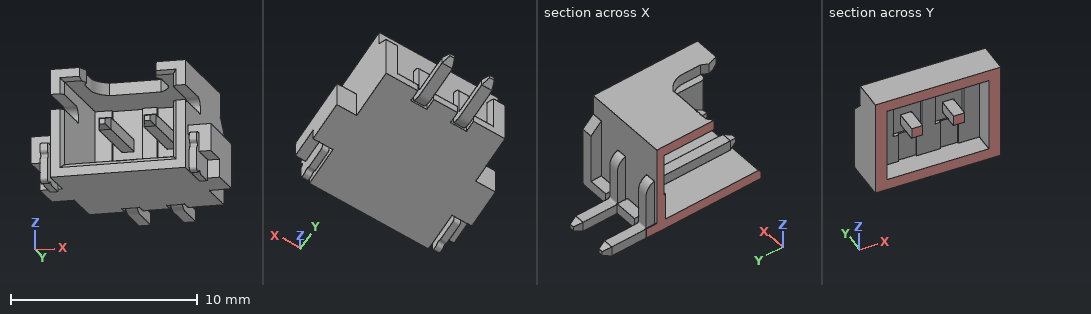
import cadquery as cq
import math


body_width = 7.5
body_height = 6.0
body_depth = 7.8
top_depth = 7.1
rear_step = body_depth - top_depth
cheek_chamfer_top = 4.66
side_wall = 0.72
wall = 0.7
lead_in = 0.2
cavity_depth = top_depth - wall
cavity_width = body_width - 2 * side_wall
cavity_height = body_height - 2 * wall

side_slot_depth = 3.01
side_slot_bottom = 3.77
side_slot_top = 4.6
side_slot_radius = 0.5
window_half_width = 2.13
window_neck_half_width = 1.91
window_neck_depth = 0.66
window_straight_start = 1.07
window_straight_end = 2.26
window_arc_end_half_width = 1.54
window_depth = 3.49
window_corner_width = 0.1
window_corner_depth = 0.09

pin_pitch = 2.5
pin_size = 0.66
pin_tip_size = 0.29
pin_tip_length = 0.51
pin_front = 1.42
pin_rear = 10.5
pin_height = 3.31
foot_drop = 0.2
pin_inner_bend = 0.15
pin_outer_bend = pin_inner_bend + pin_size
pin_positions = [-pin_pitch / 2, pin_pitch / 2]

recess_width = 1.7
recess_bottom = 2.49
recess_depth = 0.2
groove_width = 1.07
groove_depth = recess_depth / 2
comb_gap = 1.0
comb_height = wall

ear_width = 1.25
ear_height = 2.5
ear_front = 0.59
ear_rear = 4.81
ear_cut_rear = 2.39
ear_cut_height = 1.0
tab_inner_x = 3.94
tab_outer_x = 4.35
tab_front = 0.1
tab_rear = 2.28
tab_top = 2.01
tab_front_radius = 0.2
tab_rear_radius = 0.1
tab_groove_radius = 0.15
tab_groove_lip_radius = 0.2
tab_groove_depth = 0.15
tab_front_groove_height = 1.29
tab_bottom_groove_y = 0.7


def box(x_range, y_range, z_range):
    """Box spanning the given (low, high) range on each axis."""
    low, high = zip(x_range, y_range, z_range)
    size = [b - a for a, b in zip(low, high)]
    return cq.Workplane("XY").box(*size, centered=False).translate(low)


def centred_box(x_centre, width, y_range, z_range):
    """Box of a given width, centred on x_centre."""
    return box((x_centre - width / 2, x_centre + width / 2), y_range, z_range)


def make_shell():
    """Housing block with chamfered rear cheeks and a low comb between them."""
    chamfer_bottom = cheek_chamfer_top - rear_step
    shell = (
        cq.Workplane("YZ")
        .moveTo(0, 0)
        .lineTo(body_depth, 0)
        .lineTo(body_depth, chamfer_bottom)
        .lineTo(top_depth, cheek_chamfer_top)
        .lineTo(top_depth, body_height)
        .lineTo(0, body_height)
        .close()
        .extrude(body_width / 2, both=True)
    )
    shell = shell.cut(
        centred_box(0, cavity_width, (top_depth, body_depth), (comb_height, body_height))
    )
    for x in pin_positions:
        shell = shell.cut(centred_box(x, comb_gap, (top_depth, body_depth), (0, body_height)))
    return shell


def make_cavity():
    """Mating cavity with a 45 degree lead-in around its mouth."""
    cavity = centred_box(0, cavity_width, (0, cavity_depth), (wall, wall + cavity_height))
    mouth = (
        cq.Workplane("XZ", origin=(0, 0, body_height / 2))
        .rect(cavity_width + 2 * lead_in, cavity_height + 2 * lead_in)
        .workplane(offset=-lead_in)
        .rect(cavity_width, cavity_height)
        .loft(ruled=True)
    )
    return cavity.union(mouth)


def make_side_slots():
    """Slot through both side walls, rounded at its upper inner corner."""
    return (
        cq.Workplane("YZ")
        .moveTo(0, side_slot_bottom)
        .lineTo(side_slot_depth, side_slot_bottom)
        .lineTo(side_slot_depth, side_slot_top - side_slot_radius)
        .radiusArc((side_slot_depth - side_slot_radius, side_slot_top), -side_slot_radius)
        .lineTo(0, side_slot_top)
        .close()
        .extrude(body_width / 2, both=True)
    )


def make_latch_window():
    """Roof window with a necked mouth and an arched inner end."""
    arc_end_y = window_depth - window_corner_depth
    arc_dx = window_half_width - window_arc_end_half_width
    arc_dy = arc_end_y - window_straight_end
    arc_radius = (arc_dx**2 + arc_dy**2) / (2 * arc_dx)
    half_window = (
        cq.Workplane("XY", origin=(0, 0, body_height / 2))
        .moveTo(0, 0)
        .lineTo(window_half_width, 0)
        .lineTo(window_neck_half_width, window_neck_depth)
        .lineTo(window_half_width, window_straight_start)
        .lineTo(window_half_width, window_straight_end)
        .radiusArc((window_arc_end_half_width, arc_end_y), -arc_radius)
        .lineTo(window_arc_end_half_width - window_corner_width, window_depth)
        .lineTo(0, window_depth)
        .close()
        .extrude(body_height / 2)
    )
    roof = centred_box(0, body_width, (0, window_depth), (body_height - wall, body_height))
    return half_window.union(half_window.mirror("YZ")).intersect(roof)


def make_pin_recess(x):
    """Recess around a pin in the cavity's end wall, with a shallower, narrower groove below it."""
    recess_y = (cavity_depth, cavity_depth + recess_depth)
    groove_y = (cavity_depth, cavity_depth + groove_depth)
    recess = centred_box(x, recess_width, recess_y, (recess_bottom, body_height - wall))
    groove = centred_box(x, groove_width, groove_y, (wall, recess_bottom))
    return recess.union(groove)


def make_pin_tip(x, base_y, z, direction):
    """Square pyramid frustum at a pin end; direction is +1 to the rear, -1 to the front."""
    base = cq.Plane(origin=(x, base_y, z), xDir=(1, 0, 0), normal=(0, direction, 0))
    return (
        cq.Workplane(base)
        .rect(pin_size, pin_size)
        .workplane(offset=pin_tip_length)
        .rect(pin_tip_size, pin_tip_size)
        .loft(ruled=True)
    )


def make_pin(x):
    """Square pin running back from the cavity, down behind the housing and out along the board."""
    half = pin_size / 2
    tail_bottom = -foot_drop
    tail_top = tail_bottom + pin_size
    front_base = pin_front + pin_tip_length
    rear_base = pin_rear - pin_tip_length
    riser_rear = body_depth - pin_inner_bend
    riser_front = riser_rear - pin_size
    upper_bend_y = riser_rear - pin_outer_bend
    upper_bend_z = pin_height + half - pin_outer_bend
    lower_bend_y = body_depth
    lower_bend_z = tail_bottom + pin_outer_bend
    pin = (
        cq.Workplane("YZ", origin=(x, 0, 0))
        .moveTo(front_base, pin_height - half)
        .lineTo(upper_bend_y, pin_height - half)
        .radiusArc((riser_front, upper_bend_z), pin_inner_bend)
        .lineTo(riser_front, lower_bend_z)
        .radiusArc((lower_bend_y, tail_bottom), -pin_outer_bend)
        .lineTo(rear_base, tail_bottom)
        .lineTo(rear_base, tail_top)
        .lineTo(lower_bend_y, tail_top)
        .radiusArc((riser_rear, lower_bend_z), pin_inner_bend)
        .lineTo(riser_rear, upper_bend_z)
        .radiusArc((upper_bend_y, pin_height + half), -pin_outer_bend)
        .lineTo(front_base, pin_height + half)
        .close()
        .extrude(half, both=True)
    )
    front_tip = make_pin_tip(x, front_base, pin_height, -1)
    rear_tip = make_pin_tip(x, rear_base, tail_bottom + half, 1)
    return pin.union(front_tip).union(rear_tip)


def make_ear():
    """Right-hand mounting ear, cut away at the lower front and slotted for its tab."""
    inner_x = body_width / 2
    outer_x = inner_x + ear_width
    cut_y = (ear_front, ear_cut_rear)
    ear = box((inner_x, outer_x), (ear_front, ear_rear), (0, ear_height))
    ear = ear.cut(box((inner_x, outer_x), cut_y, (0, ear_cut_height)))
    return ear.cut(box((inner_x, tab_outer_x), cut_y, (0, tab_top)))


def make_tab_groove():
    """Groove with rounded lips, cut to its depth along +Y from the origin and centred on Z = 0."""
    radius_sum = tab_groove_radius + tab_groove_lip_radius
    angle = math.acos(1 - tab_groove_depth / radius_sum)
    half_mouth = radius_sum * math.sin(angle)
    join_y = tab_groove_lip_radius * (1 - math.cos(angle))
    join_z = tab_groove_radius * math.sin(angle)
    return (
        cq.Workplane("YZ", origin=(tab_inner_x, 0, 0))
        .moveTo(0, -half_mouth)
        .radiusArc((join_y, -join_z), tab_groove_lip_radius)
        .radiusArc((join_y, join_z), -tab_groove_radius)
        .radiusArc((0, half_mouth), tab_groove_lip_radius)
        .close()
        .extrude(tab_outer_x - tab_inner_x)
    )


def make_tab():
    """Right-hand solder tab with rounded corners and a groove in its front and bottom edges."""
    tab = box((tab_inner_x, tab_outer_x), (tab_front, tab_rear), (-foot_drop, tab_top))
    tab = tab.edges("|X and <Y").fillet(tab_front_radius)
    tab = tab.edges("|X and >Y and <Z").fillet(tab_rear_radius)
    groove = make_tab_groove()
    front_groove = groove.translate((0, tab_front, tab_front_groove_height))
    bottom_groove = groove.rotate((0, 0, 0), (1, 0, 0), 90).translate((0, tab_bottom_groove_y, -foot_drop))
    return tab.cut(front_groove).cut(bottom_groove)


housing = make_shell().cut(make_cavity())
for x in pin_positions:
    housing = housing.cut(make_pin_recess(x))
housing = housing.cut(make_side_slots()).cut(make_latch_window())

mount = make_ear().union(make_tab())
result = housing.union(mount).union(mount.mirror("YZ"))
for x in pin_positions:
    result = result.union(make_pin(x))